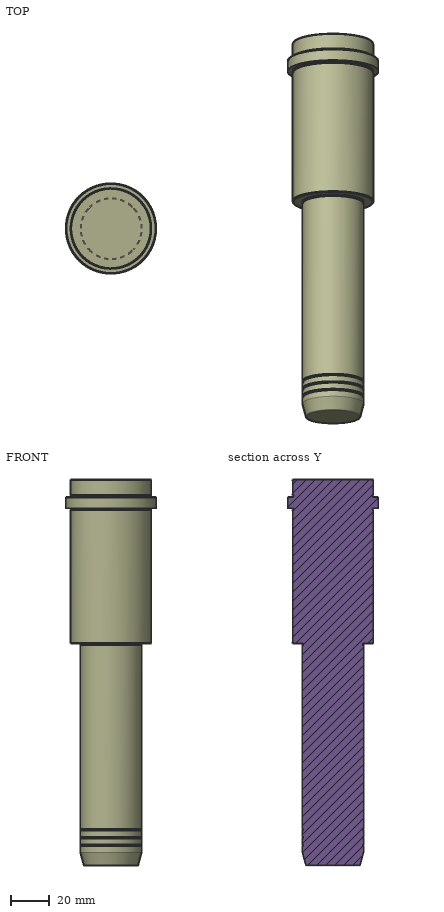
import math

import cadquery as cq

total_length = 200.0
edge_chamfer = 0.5
tip_fillet = 0.5

body_diameter = 42.0
body_length = 85.0

collar_diameter = 47.0
collar_top_depth = 9.0
collar_thickness = 6.0

shaft_diameter = 32.0
lead_in_height = 7.0
lead_in_angle = 15.0

groove_width = 1.0
groove_depth = 0.5
groove_pitch = 4.0
groove_count = 3
first_groove_height = 10.5

body_bottom = total_length - body_length
collar_top = total_length - collar_top_depth
collar_bottom = collar_top - collar_thickness
tip_radius = shaft_diameter / 2 - lead_in_height * math.tan(math.radians(lead_in_angle))


def cylinder(diameter, bottom, top):
    return cq.Workplane("XY").workplane(offset=bottom).circle(diameter / 2).extrude(top - bottom)


def v_groove(diameter, height):
    """Ring that cuts a V groove, centred at the given height, into a cylinder."""
    radius = diameter / 2
    profile = (
        cq.Workplane("XZ")
        .moveTo(radius, height - groove_width / 2)
        .lineTo(radius - groove_depth, height)
        .lineTo(radius, height + groove_width / 2)
        .close()
    )
    return profile.revolve(360, (0, 0), (0, 1))


def make_shaft():
    """Slim shaft with a rounded conical tip, a row of V grooves near it and one under the body."""
    lead_in = (
        cq.Workplane("XY")
        .circle(tip_radius)
        .workplane(offset=lead_in_height)
        .circle(shaft_diameter / 2)
        .loft(ruled=True)
        .faces("<Z")
        .edges()
        .fillet(tip_fillet)
    )
    shaft = cylinder(shaft_diameter, lead_in_height, body_bottom).union(lead_in)
    shaft = shaft.cut(v_groove(shaft_diameter, body_bottom - groove_width / 2))
    for index in range(groove_count):
        shaft = shaft.cut(v_groove(shaft_diameter, first_groove_height + index * groove_pitch))
    return shaft


def make_body():
    """Thick upper body with chamfered ends and a V groove on each side of the collar."""
    body = cylinder(body_diameter, body_bottom, total_length).edges("%CIRCLE").chamfer(edge_chamfer)
    for height in (collar_top + groove_width / 2, collar_bottom - groove_width / 2):
        body = body.cut(v_groove(body_diameter, height))
    return body


def make_collar():
    """Collar with a chamfered upper rim and a sharp lower rim."""
    return cylinder(collar_diameter, collar_bottom, collar_top).faces(">Z").edges().chamfer(edge_chamfer)


result = make_shaft().union(make_body()).union(make_collar())